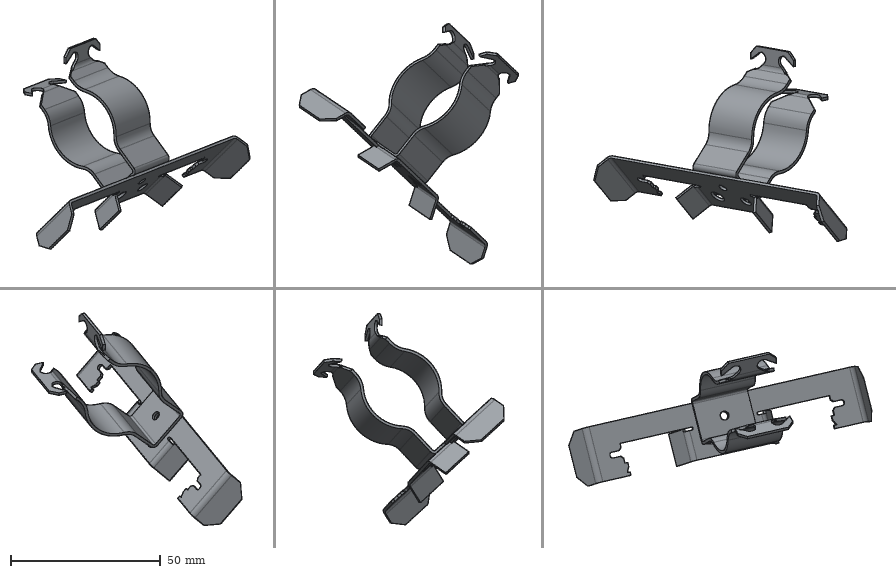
import cadquery as cq
import math

tilt = 45.0
sheet = 1.0

strip_width = 19.0
strip_centre_x = -2.9
strip_left = strip_centre_x - strip_width / 2
strip_right = strip_centre_x + strip_width / 2
flange_angle = 60.0

overall_length = 105.2
ear_bend_radius = 2.5
ear_length = 8.0
ear_chamfer = 4.0
ear_reach = (
    ear_bend_radius * math.sin(math.radians(flange_angle))
    + ear_length * math.cos(math.radians(flange_angle))
)
ear_bend_y = overall_length / 2 - ear_reach

tab_bend_y = 12.8
tab_bend_radius = 2.2
tab_length = 7.0

cutout_depth = 11.3
relief_width = 1.0
relief_reach = 1.4
cutout_end_y = 37.3
hook_reach = 1.0
hook_height = 4.4
barb_low = 1.2
barb_high = 2.9
slot_height = 8.0
slot_width = 2.0
slot_depth = 4.4
slot_chamfer = 0.8

fixing_hole_diameter = 2.9
side_hole_height = 6.2
side_hole_y = 6.4
small_side_hole_diameter = 4.0
large_side_hole_diameter = 5.0

clip_width = 19.6
leg_x = 7.5
neck_x = 8.5
base_bend_radius = 1.3
barrel_centre_z = 24.0
barrel_inner_radius = 13.0
barrel_radius = barrel_inner_radius + sheet / 2
leg_flare_radius = 6.0
neck_flare_radius = 8.0

tip_lean = 45.0
diagonal = math.sqrt(0.5)
tip_chamfer = 2.5
eye_radius = 2.0
eye_y = 4.9
left_tip = dict(
    bend_z=44.3,
    bend_radius=1.7,
    length=5.7,
    eye_distance=4.2,
    mouth_distance=5.6,
    throat_y=3.7,
    cut_end_z=39.7,
)
right_tip = dict(
    bend_z=42.5,
    bend_radius=2.9,
    length=7.2,
    eye_distance=3.8,
    mouth_distance=4.7,
    throat_y=5.8,
    cut_end_z=39.7,
)


def both_ends(shape):
    """The shape together with its mirror image across y = 0."""
    return shape.union(shape.mirror("XZ"))


def bent_flange(bend_y, radius, bend_x_range, outline):
    """A flange bent down from the strip's top face; the outline is (x, distance from the bend)."""
    x_low, x_high = bend_x_range
    bend = (
        cq.Workplane("XZ", origin=(0, bend_y, 0))
        .moveTo(x_low, -sheet)
        .lineTo(x_high, -sheet)
        .lineTo(x_high, 0)
        .lineTo(x_low, 0)
        .close()
        .revolve(flange_angle, (x_high, -radius), (x_low, -radius))
    )
    flat = cq.Workplane("XY").polyline(outline).close().extrude(-sheet)
    flat = flat.translate((0, bend_y, 0))
    flat = flat.rotate((0, bend_y, -radius), (1, bend_y, -radius), -flange_angle)
    return bend.union(flat)


def make_ear():
    outline = [
        (strip_left, 0),
        (strip_right, 0),
        (strip_right, ear_length - ear_chamfer),
        (strip_right - ear_chamfer, ear_length),
        (strip_left + ear_chamfer, ear_length),
        (strip_left, ear_length - ear_chamfer),
    ]
    return bent_flange(ear_bend_y, ear_bend_radius, (strip_left, strip_right), outline)


def make_tab():
    top = strip_left + cutout_depth
    outline = [(strip_left, 0), (top, 0), (top, tab_length), (strip_left, tab_length)]
    return bent_flange(tab_bend_y, tab_bend_radius, (strip_left, top - relief_width), outline)


def make_cutout():
    """Opening between a tab and an ear: hook, barb notch, keyed slot and bend relief."""
    hook_y = cutout_end_y - hook_reach
    slot_low = slot_height - slot_width / 2
    slot_high = slot_height + slot_width / 2
    outline = [
        (0, tab_bend_y),
        (0, hook_y),
        (barb_low, hook_y),
        (barb_low, cutout_end_y),
        (barb_high, hook_y),
        (hook_height, hook_y),
        (hook_height, cutout_end_y),
        (slot_low - slot_chamfer, cutout_end_y),
        (slot_low, cutout_end_y + slot_chamfer),
        (slot_high, cutout_end_y + slot_chamfer),
        (slot_high + slot_chamfer, cutout_end_y),
        (cutout_depth, cutout_end_y),
        (cutout_depth, tab_bend_y),
    ]
    opening = cq.Workplane("XY").polyline(outline).close().extrude(-sheet)
    slot_length = slot_depth + slot_width / 2
    slot = (
        cq.Workplane("XY")
        .center(slot_height, cutout_end_y + slot_depth - slot_length / 2)
        .slot2D(slot_length, slot_width, 90)
        .extrude(-sheet)
    )
    relief_length = relief_reach + relief_width
    relief = (
        cq.Workplane("XY")
        .center(cutout_depth - relief_width / 2, tab_bend_y - relief_reach + relief_length / 2)
        .slot2D(relief_length, relief_width, 90)
        .extrude(-sheet)
    )
    return opening.union(slot).union(relief).translate((strip_left, 0, 0))


def fixing_hole():
    return cq.Workplane("XY").circle(fixing_hole_diameter / 2).extrude(sheet, both=True)


def make_bracket():
    strip = (
        cq.Workplane("XY")
        .center(strip_centre_x, 0)
        .rect(strip_width, 2 * ear_bend_y)
        .extrude(-sheet)
        .cut(both_ends(make_cutout()))
        .cut(fixing_hole())
    )
    side_holes = [(side_hole_y, small_side_hole_diameter), (-side_hole_y, large_side_hole_diameter)]
    for y, diameter in side_holes:
        hole = cq.Workplane("XY").center(strip_left + side_hole_height, y).circle(diameter / 2)
        strip = strip.cut(hole.extrude(-sheet))
    return strip.union(both_ends(make_ear())).union(both_ends(make_tab()))


def flare(straight_x, radius, side):
    """Start of a reverse bend on a straight stretch and its end on the barrel, side = 1 above, -1 below."""
    centre_x = straight_x + radius
    centre_distance = barrel_radius + radius
    rise = side * math.sqrt(centre_distance**2 - centre_x**2)
    share = barrel_radius / centre_distance
    start = (straight_x, barrel_centre_z + rise)
    end = (centre_x * share, barrel_centre_z + rise * share)
    return start, end


def make_half_clip(tip):
    """One leg with half of the base, as a right-hand leg."""
    base_z = sheet / 2
    low_start, low_end = flare(leg_x, leg_flare_radius, -1)
    high_start, high_end = flare(neck_x, neck_flare_radius, 1)
    bend_z = tip["bend_z"]
    setback = tip["bend_radius"] * math.tan(math.radians(tip_lean / 2))
    bend_end = (neck_x + setback * diagonal, bend_z + setback * diagonal)
    tip_end = (neck_x + tip["length"] * diagonal, bend_z + tip["length"] * diagonal)
    path = (
        cq.Workplane("XZ")
        .moveTo(0, base_z)
        .lineTo(leg_x - base_bend_radius, base_z)
        .tangentArcPoint((leg_x, base_z + base_bend_radius), relative=False)
        .lineTo(*low_start)
        .tangentArcPoint(low_end, relative=False)
        .tangentArcPoint(high_end, relative=False)
        .tangentArcPoint(high_start, relative=False)
        .lineTo(neck_x, bend_z - setback)
        .tangentArcPoint(bend_end, relative=False)
        .lineTo(*tip_end)
    )
    section = cq.Workplane("YZ").center(0, base_z).rect(clip_width, sheet)
    cuts = both_ends(tip_cut(tip, tip_end).union(leg_cut(tip)))
    return section.sweep(path).cut(cuts)


def tip_cut(tip, tip_end):
    """Corner chamfer and open eye, cut square through the outward-leaning tip."""
    plane = cq.Plane(origin=(tip_end[0], 0, tip_end[1]), xDir=(0, 1, 0), normal=(1, 0, -1))
    edge_y = clip_width / 2
    corner = (
        cq.Workplane(plane)
        .polyline([(edge_y, 0), (edge_y - tip_chamfer, 0), (edge_y, -tip_chamfer)])
        .close()
        .extrude(sheet, both=True)
    )
    eye = cq.Workplane(plane).center(eye_y, -tip["eye_distance"]).circle(eye_radius)
    eye = eye.extrude(sheet, both=True)
    tangent = eye_radius * diagonal
    side_distance = tip["length"] + (tip["bend_z"] - tip["cut_end_z"]) * diagonal
    mouth = (
        cq.Workplane(plane)
        .polyline(
            [
                (eye_y + tangent, -tip["eye_distance"] + tangent),
                (edge_y, -tip["mouth_distance"]),
                (edge_y, -side_distance),
                (tip["throat_y"], -tip["length"]),
                (eye_y - tangent, -tip["eye_distance"] - tangent),
            ]
        )
        .close()
        .extrude(sheet, both=True)
    )
    return corner.union(eye).union(mouth)


def leg_cut(tip):
    """Sloping cut that continues the eye's mouth down the straight top of the leg."""
    edge_y = clip_width / 2
    return (
        cq.Workplane("YZ", origin=(neck_x, 0, 0))
        .polyline(
            [
                (tip["throat_y"], tip["bend_z"]),
                (edge_y, tip["cut_end_z"]),
                (edge_y, tip["bend_z"]),
            ]
        )
        .close()
        .extrude(2 * sheet, both=True)
    )


def make_clip():
    right_half = make_half_clip(right_tip)
    left_half = make_half_clip(left_tip).mirror("YZ")
    return right_half.union(left_half).cut(fixing_hole())


def tilted(body):
    return body.rotate((0, 0, 0), (0, 1, 0), -tilt)


bracket = tilted(make_bracket())
clip = tilted(make_clip())

result = cq.Compound.makeCompound([bracket.val(), clip.val()])